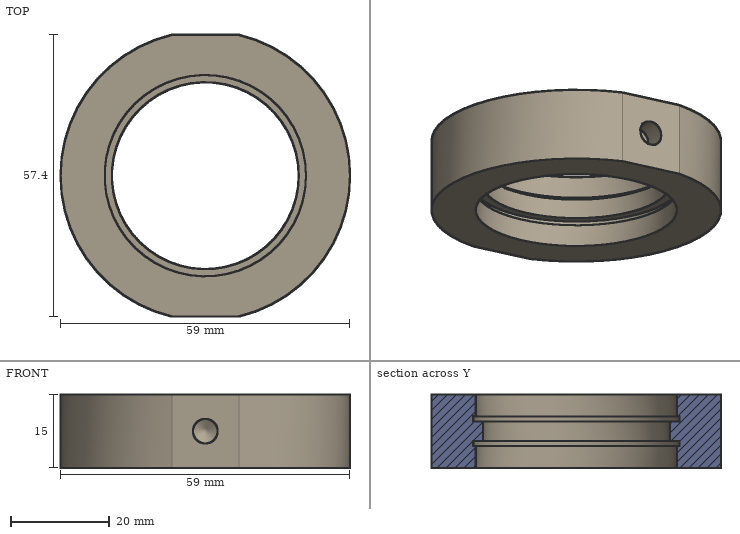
import cadquery as cq
import math

outer_diameter = 59.0
height = 15.0
width_across_flats = 57.4

lip_diameter = 38.0
lip_thickness = 4.0
seat_diameter = 41.0
seat_depth = (height - lip_thickness) / 2

undercut_diameter = 42.0
undercut_width = 1.0

hole_diameter = 5.0
hole_depth = 5.0
drill_point_angle = 118.0


def disc(diameter, bottom, thickness):
    """Solid cylinder on the ring axis, starting at the given height."""
    return cq.Workplane("XY").workplane(offset=bottom).circle(diameter / 2).extrude(thickness)


def ring_blank():
    """Round body with two parallel flats facing +Y and -Y."""
    flats = cq.Workplane("XY").rect(outer_diameter, width_across_flats).extrude(height)
    return disc(outer_diameter, 0, height).intersect(flats)


def stepped_bore():
    """Through bore with a seat and an undercut on each side of the central lip."""
    lip_bottom = seat_depth
    lip_top = height - seat_depth
    bore = disc(lip_diameter, 0, height)
    for seat_bottom, undercut_bottom in (
        (0, lip_bottom - undercut_width),
        (lip_top, lip_top),
    ):
        bore = bore.union(disc(seat_diameter, seat_bottom, seat_depth))
        bore = bore.union(disc(undercut_diameter, undercut_bottom, undercut_width))
    return bore


def drilled_hole():
    """Radial blind hole with a conical drill point, entering through the -Y flat."""
    radius = hole_diameter / 2
    point_length = radius / math.tan(math.radians(drill_point_angle / 2))
    flat_y = -width_across_flats / 2
    straight_end_y = flat_y + hole_depth
    half_profile = (
        cq.Workplane("XY")
        .workplane(offset=height / 2)
        .moveTo(0, flat_y)
        .lineTo(radius, flat_y)
        .lineTo(radius, straight_end_y)
        .lineTo(0, straight_end_y + point_length)
        .close()
    )
    return half_profile.revolve(360, (0, 0, 0), (0, 1, 0))


result = ring_blank().cut(stepped_bore()).cut(drilled_hole())